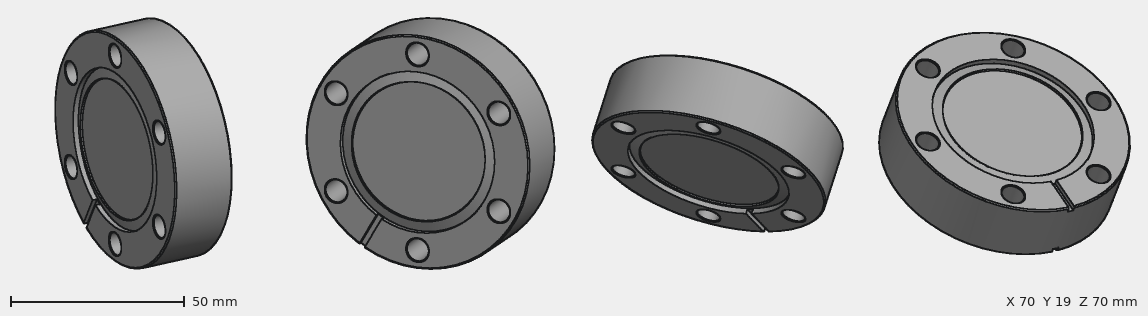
import cadquery as cq
import math

outer_radius = 35.0
thickness = 19.0
rim_chamfer = 0.4

recess_radius = 24.15
recess_depth = 1.75
knife_radius = 20.9
knife_slope_deg = 20.0
centre_radius = 20.7
centre_depth = 1.1

bolt_count = 6
bolt_circle_radius = 29.4
bolt_radius = 3.35
bolt_chamfer = 0.3

groove_width = 1.9
groove_depth = 1.5
groove_angle_deg = 240.0

half_thickness = thickness / 2
knife_height = (recess_radius - knife_radius) * math.tan(math.radians(knife_slope_deg))
knife_depth = recess_depth - knife_height


def make_body():
    """Revolve the half section, including both recesses, about the Y axis."""
    near_face = [
        (0, half_thickness - centre_depth),
        (centre_radius, half_thickness - centre_depth),
        (knife_radius, half_thickness - knife_depth),
        (recess_radius, half_thickness - recess_depth),
        (recess_radius, half_thickness),
        (outer_radius - rim_chamfer, half_thickness),
        (outer_radius, half_thickness - rim_chamfer),
    ]
    far_face = [(radius, -y) for radius, y in reversed(near_face)]
    section = cq.Workplane("XY").polyline(near_face + far_face).close()
    return section.revolve(360, (0, 0, 0), (0, 1, 0))


def make_bolt_hole():
    """Through hole along Y, chamfered at both faces, on the upper Z axis."""
    mouth_radius = bolt_radius + bolt_chamfer
    section = [
        (0, half_thickness),
        (mouth_radius, half_thickness),
        (bolt_radius, half_thickness - bolt_chamfer),
        (bolt_radius, bolt_chamfer - half_thickness),
        (mouth_radius, -half_thickness),
        (0, -half_thickness),
    ]
    hole = cq.Workplane("XY").polyline(section).close().revolve(360, (0, 0, 0), (0, 1, 0))
    return hole.translate((0, 0, bolt_circle_radius))


def make_groove(side):
    """Radial slot in the face at side * half_thickness, open at recess and rim."""
    start = math.sqrt(recess_radius**2 - (groove_width / 2) ** 2)
    length = outer_radius - start + rim_chamfer
    slot = cq.Workplane("XY").box(length, 2 * groove_depth, groove_width)
    slot = slot.translate((start + length / 2, side * half_thickness, 0))
    return slot.rotate((0, 0, 0), (0, 1, 0), -groove_angle_deg)


result = make_body()
for index in range(bolt_count):
    turn = index * 360 / bolt_count
    result = result.cut(make_bolt_hole().rotate((0, 0, 0), (0, 1, 0), turn))
for side in (-1, 1):
    result = result.cut(make_groove(side))